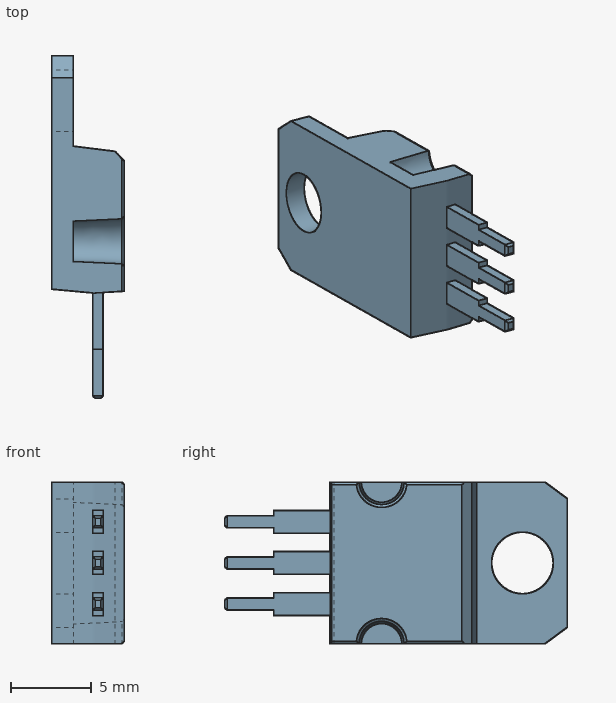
import cadquery as cq

total_length = 21.2
width = 10.0
depth = 4.52

tab_thickness = 1.35
tab_corner_length = 1.38
tab_corner_height = 1.02
hole_diameter = 3.8
hole_from_end = 2.78

body_top = 15.6
shoulder_drop = 0.32
shoulder_x = 3.92
front_top_drop = 0.93
back_bottom = 6.75
ridge_bottom = 6.5
ridge_width = 0.13
front_bottom = 6.61
front_edge_chamfer = 0.17

notch_y = 9.7
notch_floor_radius = 1.25
notch_front_radius = 1.4

lead_pitch = 2.55
lead_back = 2.55
lead_thickness = 0.65
lead_wide_width = 1.42
lead_narrow_width = 0.76
lead_narrow_length = 3.03
lead_tip_chamfer = 0.15
lead_embed = 0.42


def make_tab():
    """Plate with two cut corners and a mounting hole, overlapping the body."""
    half_width = width / 2
    shoulder_y = total_length - tab_corner_length
    end_half_width = half_width - tab_corner_height
    plate = (
        cq.Workplane("YZ")
        .polyline([
            (back_bottom, -half_width),
            (shoulder_y, -half_width),
            (total_length, -end_half_width),
            (total_length, end_half_width),
            (shoulder_y, half_width),
            (back_bottom, half_width),
        ])
        .close()
        .extrude(tab_thickness)
    )
    hole = (
        cq.Workplane("YZ")
        .center(total_length - hole_from_end, 0)
        .circle(hole_diameter / 2)
        .extrude(tab_thickness)
    )
    return plate.cut(hole)


def make_notch(side):
    """Cone centred on one side face, widening from the tab's front to the body's front."""
    return cq.Workplane(cq.Solid.makeCone(
        notch_floor_radius,
        notch_front_radius,
        depth - tab_thickness,
        pnt=cq.Vector(tab_thickness, notch_y, side * width / 2),
        dir=cq.Vector(1, 0, 0),
    ))


def make_body():
    """Drafted profile across the full width, notched on both sides; the front side edges and
    notch rims are chamfered.
    """
    body = (
        cq.Workplane("XY")
        .polyline([
            (0, back_bottom),
            (0, body_top),
            (tab_thickness, body_top),
            (shoulder_x, body_top - shoulder_drop),
            (depth, body_top - front_top_drop),
            (depth, front_bottom),
            (lead_back + ridge_width, ridge_bottom),
            (lead_back, ridge_bottom),
        ])
        .close()
        .extrude(width / 2, both=True)
    )
    for side in (-1, 1):
        body = body.cut(make_notch(side))
    return body.faces(">X").edges("not |Z").chamfer(front_edge_chamfer)


def make_lead(z):
    """Lead that is wide at the body and steps down to a narrow chamfered tip."""
    middle_x = lead_back + lead_thickness / 2
    wide_length = ridge_bottom + lead_embed - lead_narrow_length
    wide = (
        cq.Workplane("XY")
        .box(lead_thickness, wide_length, lead_wide_width, centered=(True, False, True))
        .translate((middle_x, lead_narrow_length, z))
    )
    narrow = (
        cq.Workplane("XY")
        .box(lead_thickness, lead_narrow_length, lead_narrow_width, centered=(True, False, True))
        .faces("<Y")
        .chamfer(lead_tip_chamfer)
        .translate((middle_x, 0, z))
    )
    return wide.union(narrow)


result = make_body().union(make_tab())
for position in (-1, 0, 1):
    result = result.union(make_lead(position * lead_pitch))